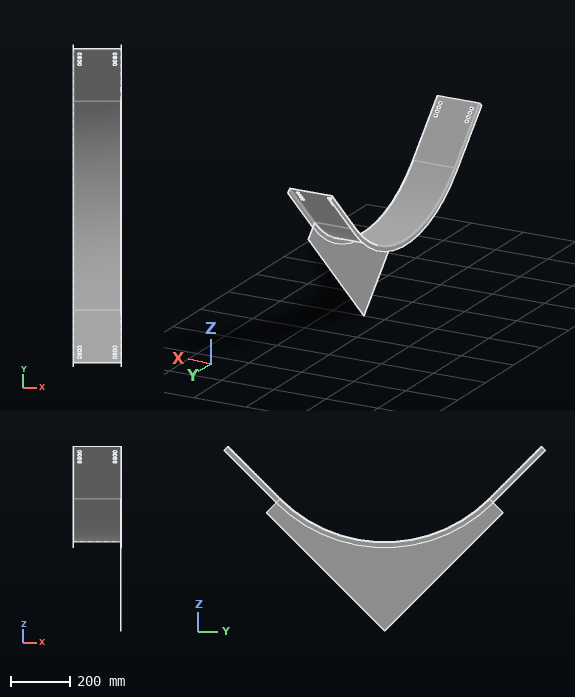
import cadquery as cq
import math

overall_length = 1089.0
bend_radius = 500.0
turn_angle = 90.0
arm_length = 250.0
channel_width = 165.0
sheet_thickness = 2.0
fold_radius = 3.0

slot_length = 12.0
slot_width = 9.0
slots_per_row = 4
slot_pitch = 16.0
first_slot_from_end = 25.0
row_half_spacing = 60.0

gusset_thickness = 2.0
gusset_depth = 567.0

half_turn = turn_angle / 2
half_turn_radians = math.radians(half_turn)
half_width = channel_width / 2
flange_inner_x = half_width - sheet_thickness
arm_reach_y = arm_length * math.cos(half_turn_radians)
flange_radius = (overall_length / 2 - arm_reach_y) / math.sin(half_turn_radians)
flange_height = flange_radius - bend_radius
gusset_top_radius = bend_radius + fold_radius


def polar(radius, angle, run=0.0):
    """Point (y, z) at a radius below the curve centre, then a run along the tangent there.

    The angle is measured from straight down, positive toward +Y.
    """
    a = math.radians(angle)
    return (
        radius * math.sin(a) + run * math.cos(a),
        -radius * math.cos(a) + run * math.sin(a),
    )


def sweep_path(radius):
    """Line of the arms and the curve at a radius, in the plane x = 0."""
    return (
        cq.Workplane("YZ")
        .moveTo(*polar(radius, -half_turn, -arm_length))
        .lineTo(*polar(radius, -half_turn))
        .threePointArc(polar(radius, 0), polar(radius, half_turn))
        .lineTo(*polar(radius, half_turn, arm_length))
    )


def arm_slots(side):
    """Cutters for both rows of slots in one arm; side is +1 for the +Y arm, -1 for the -Y arm."""
    end_y, end_z = polar(bend_radius, side * half_turn, side * arm_length)
    arm_end = cq.Plane(
        origin=(0, end_y, end_z),
        xDir=(1, 0, 0),
        normal=(0, *polar(1, side * half_turn)),
    )
    centres = [
        (row_side * row_half_spacing, side * (first_slot_from_end + i * slot_pitch))
        for row_side in (-1, 1)
        for i in range(slots_per_row)
    ]
    return (
        cq.Workplane(arm_end)
        .pushPoints(centres)
        .slot2D(slot_length, slot_width)
        .extrude(sheet_thickness * 2, both=True)
    )


def make_channel():
    """Folded profile swept along both arms and the curve, then slotted."""
    fold_x = half_width - fold_radius
    inner_fold_radius = fold_radius - sheet_thickness
    start_y, start_z = polar(bend_radius, -half_turn, -arm_length)
    arm_end = cq.Plane(
        origin=(0, start_y, start_z),
        xDir=(1, 0, 0),
        normal=(0, *polar(0, -half_turn, 1)),
    )
    profile = (
        cq.Workplane(arm_end)
        .moveTo(-half_width, flange_height)
        .lineTo(-half_width, fold_radius)
        .radiusArc((-fold_x, 0), -fold_radius)
        .lineTo(fold_x, 0)
        .radiusArc((half_width, fold_radius), -fold_radius)
        .lineTo(half_width, flange_height)
        .lineTo(flange_inner_x, flange_height)
        .lineTo(flange_inner_x, fold_radius)
        .radiusArc((fold_x, sheet_thickness), inner_fold_radius)
        .lineTo(-fold_x, sheet_thickness)
        .radiusArc((-flange_inner_x, fold_radius), inner_fold_radius)
        .lineTo(-flange_inner_x, flange_height)
        .close()
    )
    channel = profile.sweep(sweep_path(bend_radius))
    for side in (-1, 1):
        channel = channel.cut(arm_slots(side))
    return channel


def make_gusset():
    """Square-cornered plate lapped on the +X flange, its curved top edge where the fold ends."""
    tip_radius = gusset_depth / math.cos(half_turn_radians)
    return (
        cq.Workplane("YZ", origin=(flange_inner_x - gusset_thickness, 0, 0))
        .moveTo(*polar(gusset_top_radius, -half_turn))
        .threePointArc(polar(gusset_top_radius, 0), polar(gusset_top_radius, half_turn))
        .lineTo(*polar(gusset_depth, half_turn))
        .lineTo(*polar(tip_radius, 0))
        .lineTo(*polar(gusset_depth, -half_turn))
        .close()
        .extrude(gusset_thickness)
    )


channel = make_channel()
gusset = make_gusset()
result = cq.Compound.makeCompound([channel.val(), gusset.val()])